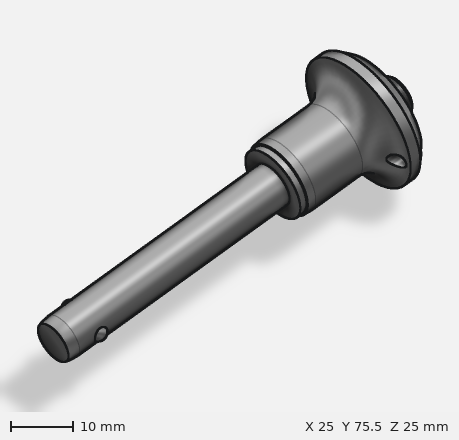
import cadquery as cq
import math


total_length = 75.5
button_length = 4.6
rim_bevel_length = 2.1
rim_length = 2.1
grip_length = 10.3
grip_taper_length = 1.6
collar_length = 1.35
tip_length = 2.1

rim_radius = 12.495
handle_face_radius = 10.6
grip_radius = 7.0
grip_end_radius = 6.9
collar_radius = 6.6
button_radius = 3.7
button_chamfer = 0.45
shank_radius = 4.0
tip_radius = 3.66
flare_radius = rim_radius - grip_radius

ball_radius = 1.6
ball_reach = 4.75
ball_to_tip = 6.8

lanyard_hole_radius = 1.5
lanyard_hole_offset = 10.05

grip_end_y = collar_length
grip_taper_y = grip_end_y + grip_taper_length
flare_start_y = grip_taper_y + grip_length
rim_bottom_y = flare_start_y + flare_radius
rim_top_y = rim_bottom_y + rim_length
handle_face_y = rim_top_y + rim_bevel_length
button_end_y = handle_face_y + button_length
tip_y = button_end_y - total_length
shank_end_y = tip_y + tip_length


def revolve_about_pin_axis(profile):
    return profile.close().revolve(360, (0, 0, 0), (0, 1, 0))


def make_handle():
    flare_mid_x = rim_radius - flare_radius * math.sqrt(0.5)
    flare_mid_y = flare_start_y + flare_radius * math.sqrt(0.5)
    profile = (
        cq.Workplane("XY")
        .moveTo(0, 0)
        .lineTo(collar_radius, 0)
        .lineTo(collar_radius, grip_end_y)
        .lineTo(grip_end_radius, grip_end_y)
        .lineTo(grip_radius, grip_taper_y)
        .lineTo(grip_radius, flare_start_y)
        .threePointArc((flare_mid_x, flare_mid_y), (rim_radius, rim_bottom_y))
        .lineTo(rim_radius, rim_top_y)
        .lineTo(handle_face_radius, handle_face_y)
        .lineTo(0, handle_face_y)
    )
    return revolve_about_pin_axis(profile)


def make_button():
    profile = (
        cq.Workplane("XY")
        .moveTo(0, handle_face_y)
        .lineTo(button_radius, handle_face_y)
        .lineTo(button_radius, button_end_y - button_chamfer)
        .lineTo(button_radius - button_chamfer, button_end_y)
        .lineTo(0, button_end_y)
    )
    return revolve_about_pin_axis(profile)


def make_shank():
    profile = (
        cq.Workplane("XY")
        .moveTo(0, 0)
        .lineTo(shank_radius, 0)
        .lineTo(shank_radius, shank_end_y)
        .tangentArcPoint((tip_radius, tip_y), relative=False)
        .lineTo(0, tip_y)
    )
    return revolve_about_pin_axis(profile)


def make_ball(side):
    ball_x = side * (ball_reach - ball_radius)
    ball_y = tip_y + ball_to_tip
    return cq.Workplane("XY").sphere(ball_radius).translate((ball_x, ball_y, 0))


def make_lanyard_hole():
    return (
        cq.Workplane("XZ", origin=(0, handle_face_y, 0))
        .center(lanyard_hole_offset, 0)
        .circle(lanyard_hole_radius)
        .extrude(handle_face_y)
    )


result = make_handle().cut(make_lanyard_hole())
result = result.union(make_button()).union(make_shank())
for side in (-1, 1):
    result = result.union(make_ball(side))